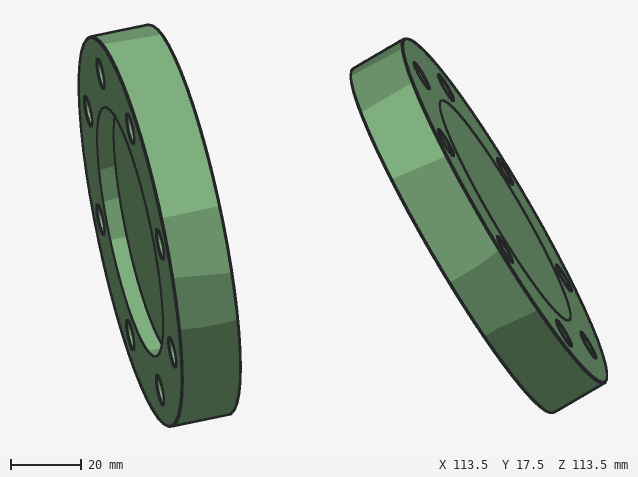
import cadquery as cq

flange_diameter = 113.5
flange_thickness = 17.5
rim_chamfer = 0.3

bolt_count = 8
bolt_circle_diameter = 92.2
bolt_hole_diameter = 8.4
bolt_hole_chamfer = 0.2

window_diameter = 72.4
window_recess = 4.9
window_thickness = flange_thickness - window_recess

front_y = -flange_thickness / 2


def disc(diameter, thickness, start_y):
    """Solid disc with its axis along Y, from start_y towards +Y."""
    plane = cq.Workplane("XZ", origin=(0, start_y, 0))
    return plane.circle(diameter / 2).extrude(-thickness)


def make_flange():
    """Ring with chamfered rims, a plain bore and a circle of bolt holes."""
    blank = disc(flange_diameter, flange_thickness, front_y)
    blank = blank.faces("<Y or >Y").edges().chamfer(rim_chamfer)
    bore = disc(window_diameter, flange_thickness, front_y)
    return cut_bolt_holes(blank).cut(bore)


def cut_bolt_holes(blank):
    """Through holes with a small chamfer at both faces."""
    drill = disc(bolt_hole_diameter, flange_thickness, front_y)
    mouth_radius = bolt_hole_diameter / 2 + bolt_hole_chamfer
    for face_y, inward in ((front_y, 1), (-front_y, -1)):
        mouth = cq.Solid.makeCone(
            mouth_radius,
            bolt_hole_diameter / 2,
            bolt_hole_chamfer,
            pnt=cq.Vector(0, face_y, 0),
            dir=cq.Vector(0, inward, 0),
        )
        drill = drill.union(cq.Workplane(mouth))
    drill = drill.translate((bolt_circle_diameter / 2, 0, 0))
    for index in range(bolt_count):
        angle = index * 360 / bolt_count
        blank = blank.cut(drill.rotate((0, 0, 0), (0, 1, 0), angle))
    return blank


def make_window():
    """Plain disc filling the bore behind the recess."""
    return disc(window_diameter, window_thickness, front_y + window_recess)


flange = make_flange()
window = make_window()

result = cq.Compound.makeCompound([flange.val(), window.val()])